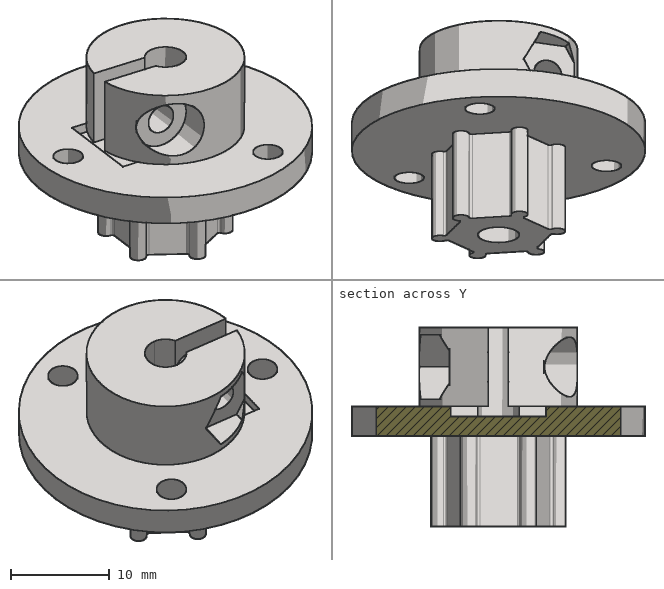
import cadquery as cq
import math

flange_diameter = 29.7
flange_thickness = 3.0
bolt_hole_diameter = 3.0
bolt_circle_radius = 11.68
bolt_angles = (30, 150, 270)

hub_diameter = 16.0
hub_height = 8.0
bore_diameter = 4.2
slot_width = 2.05

relief_width = 9.6
relief_length = 8.17
relief_depth = 1.0

screw_y = -3.48
screw_hole_diameter = 3.0
nut_sides = 6
nut_across_flats = 6.55
nut_seat_x = -4.93
nut_pocket_front_y = -6.3
head_diameter = 6.03
head_seat_x = 4.6

stub_length = 9.15
stub_sides = 6
stub_apothem = 4.9
lug_circle_radius = 6.0
lug_radius = 0.83
lug_fillet = 0.27

hub_radius = hub_diameter / 2
hub_top = flange_thickness + hub_height
screw_z = flange_thickness + hub_height / 2


def cylinder_along_x(diameter, x_start, x_end):
    """Cylinder on the clamping screw axis between two X positions."""
    plane = cq.Plane(origin=(x_start, screw_y, screw_z), xDir=(0, 1, 0), normal=(1, 0, 0))
    return cq.Workplane(plane).circle(diameter / 2).extrude(x_end - x_start)


def box_between(x_range, y_range, z_range):
    """Box given by its lower and upper limit along each axis."""
    size = [high - low for low, high in (x_range, y_range, z_range)]
    corner = (x_range[0], y_range[0], z_range[0])
    return cq.Workplane("XY").box(*size, centered=False).translate(corner)


def polar(radius, angle):
    return (radius * math.cos(angle), radius * math.sin(angle))


def rotate(point, angle):
    x, y = point
    c, s = math.cos(angle), math.sin(angle)
    return (x * c - y * s, x * s + y * c)


def make_stub():
    """Hexagonal prism whose corner lugs blend into the flat faces."""
    half_step = math.pi / stub_sides

    lug_x, lug_y = polar(lug_circle_radius, half_step)
    fillet_x = stub_apothem + lug_fillet
    fillet_y = lug_y - math.sqrt((lug_radius + lug_fillet) ** 2 - (lug_x - fillet_x) ** 2)
    to_lug = math.atan2(lug_y - fillet_y, lug_x - fillet_x)

    def on_fillet(angle):
        dx, dy = polar(lug_fillet, angle)
        return (fillet_x + dx, fillet_y + dy)

    def mirrored(point):
        return (point[0], -point[1])

    face_end = (stub_apothem, fillet_y)
    fillet_middle = on_fillet((math.pi + to_lug) / 2)
    lug_start = on_fillet(to_lug)
    lug_tip = polar(lug_circle_radius + lug_radius, half_step)

    outline = cq.Workplane("XY").moveTo(*rotate(mirrored(face_end), half_step))
    for side in range(stub_sides):
        turn = half_step * (2 * side + 1)
        next_turn = turn + 2 * half_step
        outline = outline.lineTo(*rotate(face_end, turn))
        outline = outline.threePointArc(rotate(fillet_middle, turn), rotate(lug_start, turn))
        outline = outline.threePointArc(
            rotate(lug_tip, turn), rotate(mirrored(lug_start), next_turn)
        )
        outline = outline.threePointArc(
            rotate(mirrored(fillet_middle), next_turn), rotate(mirrored(face_end), next_turn)
        )
    return outline.close().extrude(-stub_length)


def make_flange():
    holes = [polar(bolt_circle_radius, math.radians(angle)) for angle in bolt_angles]
    flange = cq.Workplane("XY").circle(flange_diameter / 2).extrude(flange_thickness)
    drills = cq.Workplane("XY").pushPoints(holes).circle(bolt_hole_diameter / 2)
    return flange.cut(drills.extrude(flange_thickness))


def make_hub():
    return (
        cq.Workplane("XY", origin=(0, 0, flange_thickness))
        .circle(hub_radius)
        .extrude(hub_height)
    )


def make_nut_pocket():
    """Hexagonal pocket with level top and bottom, flattened on its -Y side."""
    across_corners = nut_across_flats / math.cos(math.pi / nut_sides)
    plane = cq.Plane(origin=(nut_seat_x, screw_y, screw_z), xDir=(0, 1, 0), normal=(1, 0, 0))
    hexagon = cq.Workplane(plane).polygon(nut_sides, across_corners).extrude(-hub_radius - nut_seat_x)
    keep = box_between(
        (-hub_radius, nut_seat_x), (nut_pocket_front_y, hub_radius), (flange_thickness, hub_top)
    )
    return hexagon.intersect(keep)


bore = cq.Workplane("XY", origin=(0, 0, -stub_length)).circle(bore_diameter / 2)
bore = bore.extrude(stub_length + hub_top)

slot = box_between(
    (-slot_width / 2, slot_width / 2), (-hub_radius, 0), (flange_thickness, hub_top)
)
relief = box_between(
    (-relief_width / 2, relief_width / 2),
    (-relief_length, 0),
    (flange_thickness - relief_depth, flange_thickness),
)

result = (
    make_flange()
    .union(make_stub())
    .cut(relief)
    .union(make_hub())
    .cut(bore)
    .cut(slot)
    .cut(cylinder_along_x(screw_hole_diameter, -hub_radius, hub_radius))
    .cut(cylinder_along_x(head_diameter, head_seat_x, hub_radius))
    .cut(make_nut_pocket())
)